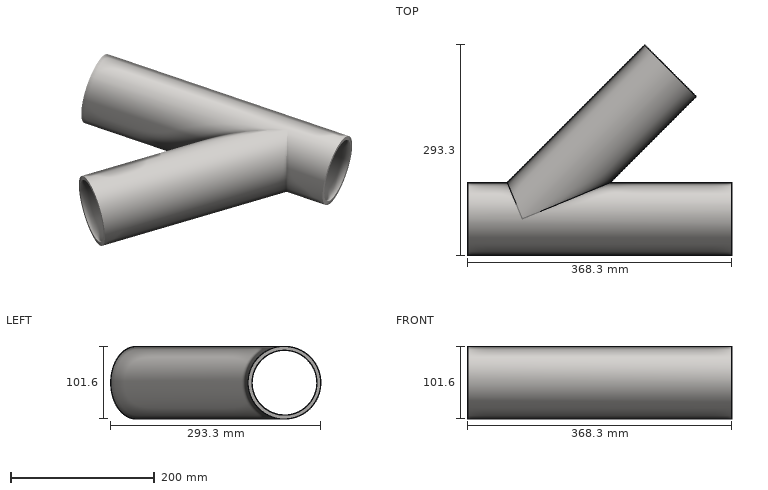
import cadquery as cq
import math

outer_diameter = 101.6
bore_diameter = 90.12
run_length = 368.3
run_inlet_length = 76.2
branch_length = 292.1
branch_angle = 45.0

branch_radians = math.radians(branch_angle)
run_direction = cq.Vector(1, 0, 0)
branch_direction = cq.Vector(math.cos(branch_radians), math.sin(branch_radians), 0)
run_start = run_direction * -run_inlet_length
branch_start = cq.Vector(0, 0, 0)


def cylinder(diameter, length, start, direction):
    """Solid cylinder running from start along direction."""
    return cq.Workplane(cq.Solid.makeCylinder(diameter / 2, length, start, direction))


def lateral(diameter):
    """Run and branch cylinders of one diameter, joined at the axis crossing."""
    run = cylinder(diameter, run_length, run_start, run_direction)
    branch = cylinder(diameter, branch_length, branch_start, branch_direction)
    return run.union(branch)


result = lateral(outer_diameter).cut(lateral(bore_diameter))